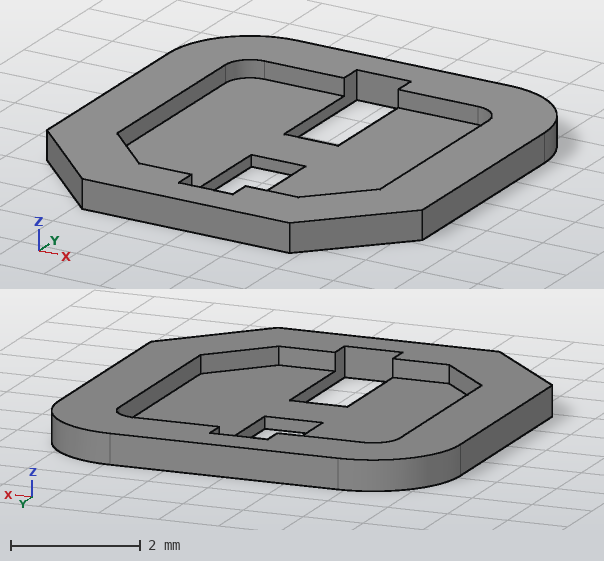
import cadquery as cq

side = 6.7
thickness = 0.5
corner_radius = 1.45
corner_chamfer = 1.5

rim_width = 1.005
pocket_depth = 0.3
pocket_side = side - 2 * rim_width
pocket_radius = corner_radius - rim_width
pocket_chamfer = 0.925

slot_width = 0.965
slot_length = 2.24
slot_gap = 1.005
slot_offset = (slot_gap + slot_length) / 2


def shield_block(width, height, radius, chamfer):
    """Square block with rounded +Y corners and chamfered -Y corners."""
    block = cq.Workplane("XY").rect(width, width).extrude(height)
    block = block.edges("|Z and >Y").fillet(radius)
    return block.edges("|Z and <Y").chamfer(chamfer)


plate = shield_block(side, thickness, corner_radius, corner_chamfer)

pocket = shield_block(pocket_side, pocket_depth, pocket_radius, pocket_chamfer)
pocket = pocket.translate((0, 0, thickness - pocket_depth))

slots = (
    cq.Workplane("XY")
    .pushPoints([(0, -slot_offset), (0, slot_offset)])
    .rect(slot_width, slot_length)
    .extrude(thickness)
)

result = plate.cut(pocket).cut(slots)